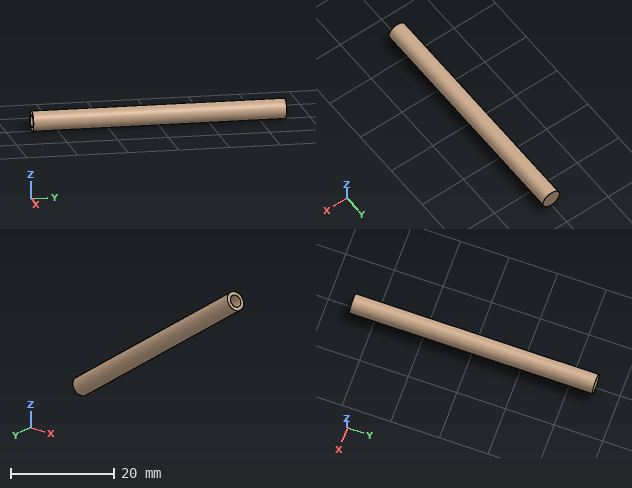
import cadquery as cq
import math

length = 50.0
outer_diameter = 4.0
hole_diameter = 2.5
hole_depth = 10.0
drill_point_angle = 118.0

outer_radius = outer_diameter / 2
hole_radius = hole_diameter / 2
point_depth = hole_radius / math.tan(math.radians(drill_point_angle / 2))
front_y = -length / 2
back_y = length / 2

result = (
    cq.Workplane("XY")
    .moveTo(hole_radius, front_y)
    .lineTo(outer_radius, front_y)
    .lineTo(outer_radius, back_y)
    .lineTo(0, back_y)
    .lineTo(0, front_y + hole_depth + point_depth)
    .lineTo(hole_radius, front_y + hole_depth)
    .close()
    .revolve(360, (0, 0, 0), (0, 1, 0))
)